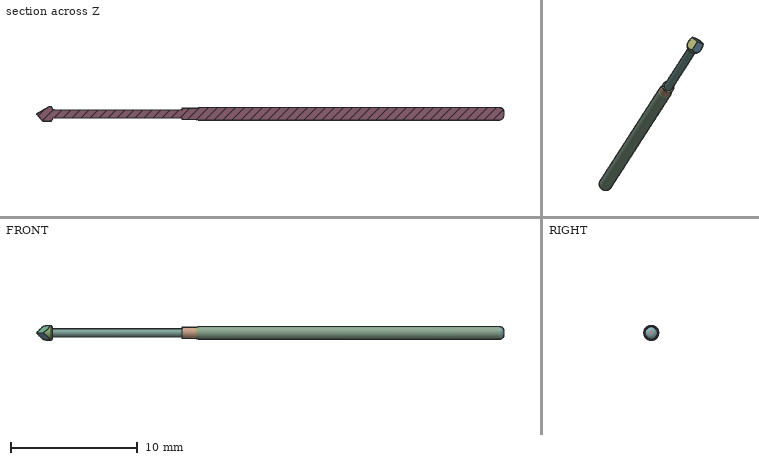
import cadquery as cq
import math

TOTAL_LENGTH = 36.83

HEAD_RADIUS = 1.19 / 2
HEAD_LENGTH = 1.28
HEAD_BEVEL_LENGTH = 0.12
HEAD_BACK_RADIUS = 0.44
POINT_SIDES = 3
FACE_ANGLE = 30.0

SHAFT_FRONT_RADIUS = 0.33
SHAFT_BACK_RADIUS = 0.335

COLLAR_RADIUS = 0.91 / 2
COLLAR_START = 11.48

BARREL_RADIUS = 1.02 / 2
BARREL_START = 12.6
MOUTH_BEVEL_LENGTH = 0.2
TAIL_ROUNDING = 0.38


def turned(profile):
    """Solid of revolution about X from (position, radius) points listed from front to back."""
    front = profile[0][0]
    back = profile[-1][0]
    outline = [(front, 0)] + profile + [(back, 0)]
    return cq.Workplane("XZ").polyline(outline).close().revolve(360, (0, 0, 0), (1, 0, 0))


def planar_face(corners):
    """Flat face bounded by straight edges through the corners."""
    return cq.Face.makeFromWires(cq.Wire.makePolygon(corners, close=True))


def make_point_pyramid():
    """Pyramid growing from the tip; one face looks to +Y and one ridge lies on -Y."""
    face_distance = HEAD_LENGTH * math.tan(math.radians(FACE_ANGLE))
    ridge_distance = face_distance / math.cos(math.pi / POINT_SIDES)
    base_corners = []
    for side in range(POINT_SIDES):
        angle = math.pi + side * 2 * math.pi / POINT_SIDES
        y = ridge_distance * math.cos(angle)
        z = ridge_distance * math.sin(angle)
        base_corners.append(cq.Vector(HEAD_LENGTH, y, z))
    tip = cq.Vector(0, 0, 0)
    faces = [planar_face(base_corners)]
    for side in range(POINT_SIDES):
        faces.append(planar_face([tip, base_corners[side - 1], base_corners[side]]))
    return cq.Workplane(cq.Solid.makeSolid(cq.Shell.makeShell(faces)))


def make_head():
    """Round head cut to the pyramid point, with a bevelled back rim."""
    blank = turned([
        (0, HEAD_RADIUS),
        (HEAD_LENGTH - HEAD_BEVEL_LENGTH, HEAD_RADIUS),
        (HEAD_LENGTH, HEAD_BACK_RADIUS),
    ])
    return blank.intersect(make_point_pyramid())


def make_shaft():
    """Slender, slightly tapered shaft from the head to the collar."""
    return turned([(HEAD_LENGTH, SHAFT_FRONT_RADIUS), (COLLAR_START, SHAFT_BACK_RADIUS)])


def make_collar():
    """Plain round collar in front of the barrel."""
    return turned([(COLLAR_START, COLLAR_RADIUS), (BARREL_START, COLLAR_RADIUS)])


def make_barrel():
    """Barrel whose mouth bevels out from the collar radius and whose tail is rounded."""
    barrel = turned([
        (BARREL_START, COLLAR_RADIUS),
        (BARREL_START + MOUTH_BEVEL_LENGTH, BARREL_RADIUS),
        (TOTAL_LENGTH, BARREL_RADIUS),
    ])
    return barrel.faces(">X").edges().fillet(TAIL_ROUNDING)


result = make_head().union(make_shaft()).union(make_collar()).union(make_barrel())